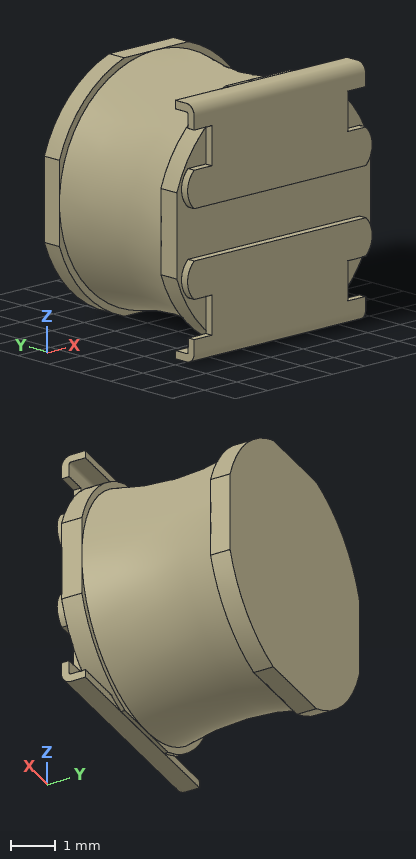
import cadquery as cq
import math

across_flats = 6.0
depth = 4.5
half = across_flats / 2

sheet = 0.2
bend_radius = 0.25
lip_reach = 0.61
bar_half_width = 2.65
neck_half_width = 2.105
bar_inner_z = 2.43
tab_outer_z = 1.5
tab_inner_z = 0.605
tab_tip_x = 2.855

flat_half_length = half / 3
flange_radius = math.hypot(half, flat_half_length)
front_flange_thickness = 0.515
back_flange_thickness = 0.5

winding_end_radius = half
winding_waist_radius = 2.81

plate_front_y = -depth / 2
flange_front_y = plate_front_y + sheet
winding_front_y = flange_front_y + front_flange_thickness
winding_back_y = depth / 2 - back_flange_thickness
winding_mid_y = (winding_front_y + winding_back_y) / 2


def make_flange(front_y, thickness):
    """Disc trimmed by a square, starting at front_y and growing toward +Y."""
    plane = cq.Workplane("XZ", origin=(0, front_y, 0))
    disc = plane.circle(flange_radius).extrude(-thickness)
    square = plane.rect(across_flats, across_flats).extrude(-thickness)
    return disc.intersect(square)


def make_winding():
    """Solid of revolution about Y with one concave arc as its side."""
    return (
        cq.Workplane("XY")
        .moveTo(0, winding_front_y)
        .lineTo(winding_end_radius, winding_front_y)
        .threePointArc(
            (winding_waist_radius, winding_mid_y),
            (winding_end_radius, winding_back_y),
        )
        .lineTo(0, winding_back_y)
        .close()
        .revolve(360, (0, 0, 0), (0, 1, 0))
    )


def make_bent_strip():
    """L-shaped sheet in the YZ plane with a rounded bend, as wide as the tab tips."""
    lip_end_y = plate_front_y + lip_reach
    inside_z = half - sheet
    strip = (
        cq.Workplane("YZ")
        .moveTo(plate_front_y, tab_inner_z)
        .lineTo(plate_front_y, half)
        .lineTo(lip_end_y, half)
        .lineTo(lip_end_y, inside_z)
        .lineTo(flange_front_y, inside_z)
        .lineTo(flange_front_y, tab_inner_z)
        .close()
        .extrude(tab_tip_x, both=True)
    )
    outer_bend = cq.NearestToPointSelector((0, plate_front_y, half))
    inner_bend = cq.NearestToPointSelector((0, flange_front_y, inside_z))
    strip = strip.edges("|X").edges(outer_bend).fillet(bend_radius)
    return strip.edges("|X").edges(inner_bend).fillet(bend_radius - sheet)


def make_terminal():
    """Upper terminal: the bent strip trimmed to bar, neck and round-ended tabs."""
    tab_mid_z = (tab_inner_z + tab_outer_z) / 2
    outline = (
        cq.Workplane("XZ", origin=(0, plate_front_y, 0))
        .moveTo(-bar_half_width, half)
        .lineTo(bar_half_width, half)
        .lineTo(bar_half_width, bar_inner_z)
        .lineTo(neck_half_width, bar_inner_z)
        .lineTo(neck_half_width, tab_outer_z)
        .lineTo(bar_half_width, tab_outer_z)
        .threePointArc((tab_tip_x, tab_mid_z), (bar_half_width, tab_inner_z))
        .lineTo(-bar_half_width, tab_inner_z)
        .threePointArc((-tab_tip_x, tab_mid_z), (-bar_half_width, tab_outer_z))
        .lineTo(-neck_half_width, tab_outer_z)
        .lineTo(-neck_half_width, bar_inner_z)
        .lineTo(-bar_half_width, bar_inner_z)
        .close()
        .extrude(-lip_reach)
    )
    return make_bent_strip().intersect(outline)


terminals = []
for angle in (0, 180):
    terminals.append(make_terminal().rotate((0, 0, 0), (0, 1, 0), angle))

front_flange = make_flange(flange_front_y, front_flange_thickness)
bend_corner = cq.Workplane("XY").box(
    2 * bar_half_width, bend_radius, sheet, centered=(True, False, False)
)
for side, terminal in zip((1, -1), terminals):
    corner_z = half - sheet if side > 0 else -half
    corner = bend_corner.translate((0, plate_front_y, corner_z))
    front_flange = front_flange.cut(terminal).cut(corner)

back_flange = make_flange(winding_back_y, back_flange_thickness)
winding = make_winding()

result = cq.Compound.makeCompound(
    [
        front_flange.solids().val(),
        back_flange.solids().val(),
        winding.val(),
        *[terminal.solids().val() for terminal in terminals],
    ]
)